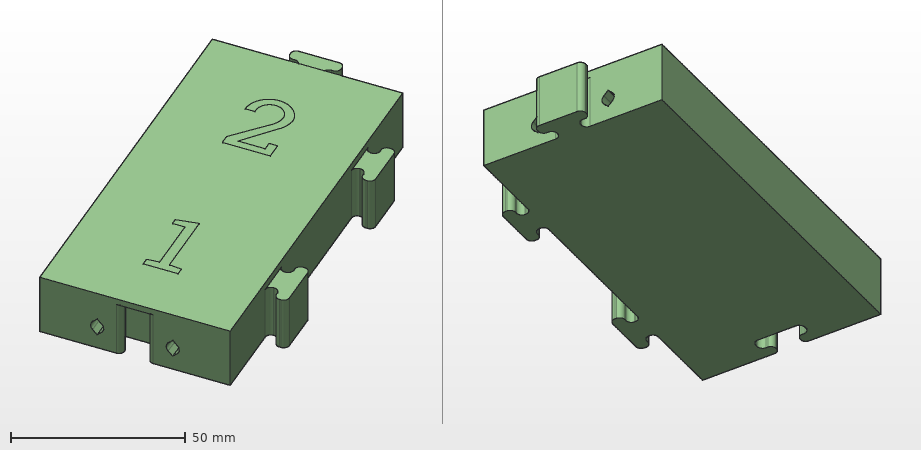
import cadquery as cq
import math

CELL = 60.0
CELL_COUNT = 2
HEIGHT = 20.0
BLOCK_LENGTH = CELL * CELL_COUNT
OVERALL_LENGTH = 128
RIGHT_FACE = CELL / 2
BACK_FACE = BLOCK_LENGTH / 2
FRONT_FACE = -BACK_FACE
CELL_CENTRES = [FRONT_FACE + CELL * (i + 0.5) for i in range(CELL_COUNT)]

KNOB_REACH = OVERALL_LENGTH - BLOCK_LENGTH
KNOB_HEAD_THICKNESS = 4.1
KNOB_HEAD_WIDTH = 16.2
KNOB_NECK_WIDTH = 7.9
KNOB_ROUNDING = 1.8
KNOB_HEIGHT = 17.5

SOCKET_CLEARANCE = 0.1
SOCKET_HEIGHT = 17.9

HOLE_RADIUS = 2.0
HOLE_OFFSET = 11.9
HOLE_Z = 7.7

INLAY_DEPTH = 1.0


def make_connector(clearance, height):
    """T-shaped connector grown by a clearance: its root lies on Y = 0 and its head towards +Y."""
    reach = KNOB_REACH + clearance
    neck_length = KNOB_REACH - KNOB_HEAD_THICKNESS - clearance
    neck_x = KNOB_NECK_WIDTH / 2 + clearance
    head_x = KNOB_HEAD_WIDTH / 2 + clearance
    inner_radius = KNOB_ROUNDING - clearance
    outer_radius = KNOB_ROUNDING + clearance
    root_x = neck_x + inner_radius
    head_flat_x = head_x - outer_radius
    return (
        cq.Workplane("XY")
        .moveTo(-root_x, 0)
        .lineTo(root_x, 0)
        .radiusArc((neck_x, inner_radius), inner_radius)
        .lineTo(neck_x, neck_length - inner_radius)
        .radiusArc((root_x, neck_length), inner_radius)
        .lineTo(head_flat_x, neck_length)
        .radiusArc((head_x, neck_length + outer_radius), -outer_radius)
        .lineTo(head_x, reach - outer_radius)
        .radiusArc((head_flat_x, reach), -outer_radius)
        .lineTo(-head_flat_x, reach)
        .radiusArc((-head_x, reach - outer_radius), -outer_radius)
        .lineTo(-head_x, neck_length + outer_radius)
        .radiusArc((-head_flat_x, neck_length), -outer_radius)
        .lineTo(-root_x, neck_length)
        .radiusArc((-neck_x, neck_length - inner_radius), inner_radius)
        .lineTo(-neck_x, inner_radius)
        .radiusArc((-root_x, 0), inner_radius)
        .close()
        .extrude(height)
    )


def make_knob():
    return make_connector(0, KNOB_HEIGHT)


def make_socket():
    return make_connector(SOCKET_CLEARANCE, SOCKET_HEIGHT).translate((0, FRONT_FACE, 0))


def make_long_hole(x):
    """Hole along Y: a round bore whose 45 degree tangents meet in a point above and below."""
    tip = HOLE_RADIUS * math.sqrt(2)
    tangent = HOLE_RADIUS / math.sqrt(2)
    return (
        cq.Workplane("XZ", origin=(x, BACK_FACE, HOLE_Z))
        .moveTo(0, tip)
        .lineTo(tangent, tangent)
        .threePointArc((HOLE_RADIUS, 0), (tangent, -tangent))
        .lineTo(0, -tip)
        .lineTo(-tangent, -tangent)
        .threePointArc((-HOLE_RADIUS, 0), (-tangent, tangent))
        .close()
        .extrude(BLOCK_LENGTH)
    )


def inlay_plane(cell_y):
    """Sketch plane on the floor of an inlay, centred on one cell."""
    return cq.Workplane("XY", origin=(0, cell_y, HEIGHT - INLAY_DEPTH))


def make_digit_one(cell_y):
    half_stem = 1.5
    half_foot = 5.5
    bottom = -12.2
    foot_top = -9.9
    stem_bottom = -9.5
    flag_bottom = 8.2
    flag_top = 10.1
    top = 11.4
    return (
        inlay_plane(cell_y)
        .moveTo(-half_foot, bottom)
        .lineTo(half_foot, bottom)
        .lineTo(half_foot, foot_top)
        .lineTo(half_stem, stem_bottom)
        .lineTo(half_stem, top)
        .lineTo(-half_foot, flag_top)
        .lineTo(-half_foot, flag_bottom)
        .lineTo(-half_stem, flag_bottom)
        .lineTo(-half_stem, stem_bottom)
        .lineTo(-half_foot, foot_top)
        .close()
        .extrude(INLAY_DEPTH)
    )


def make_digit_two(cell_y):
    foot_left = -7.8
    foot_right = 7.3
    bottom = -12.0
    foot_top = -9.6
    serif_left = 4.6
    serif_top = -6.9
    hook_end_y = 4.7
    hook_outer = (-8.2, hook_end_y)
    hook_inner = (-5.1, hook_end_y)
    bowl_outer_right = (6.5, 5.9)
    bowl_outer_top = (-0.8, 12.2)
    bowl_outer_shoulder = (6.1, 3.2)
    bowl_inner_right = (3.5, 5.9)
    bowl_inner_top = (-0.8, 9.7)
    bowl_inner_shoulder = (3.1, 3.5)
    diagonal_lower_start = (-4.0, foot_top)
    diagonal_lower_end = (5.0, 1.0)
    diagonal_upper_start = (foot_left, -9.1)
    diagonal_upper_end = (1.8, 1.4)
    return (
        inlay_plane(cell_y)
        .moveTo(foot_left, bottom)
        .lineTo(foot_right, bottom)
        .lineTo(foot_right, serif_top)
        .lineTo(serif_left, serif_top)
        .lineTo(serif_left, foot_top)
        .lineTo(*diagonal_lower_start)
        .lineTo(*diagonal_lower_end)
        .threePointArc(bowl_outer_shoulder, bowl_outer_right)
        .threePointArc(bowl_outer_top, hook_outer)
        .lineTo(*hook_inner)
        .threePointArc(bowl_inner_top, bowl_inner_right)
        .threePointArc(bowl_inner_shoulder, diagonal_upper_end)
        .lineTo(*diagonal_upper_start)
        .close()
        .extrude(INLAY_DEPTH)
    )


def make_block(inlays):
    block = cq.Workplane("XY").box(CELL, BLOCK_LENGTH, HEIGHT, centered=(True, True, False))
    for y in CELL_CENTRES:
        side_knob = make_knob().rotate((0, 0, 0), (0, 0, 1), -90)
        block = block.union(side_knob.translate((RIGHT_FACE, y, 0)))
    block = block.union(make_knob().translate((0, BACK_FACE, 0)))
    block = block.cut(make_socket())
    for x in (-HOLE_OFFSET, HOLE_OFFSET):
        block = block.cut(make_long_hole(x))
    for inlay in inlays:
        block = block.cut(inlay)
    return block


digit_one = make_digit_one(CELL_CENTRES[0])
digit_two = make_digit_two(CELL_CENTRES[1])
block = make_block([digit_one, digit_two])

result = cq.Compound.makeCompound([block.val(), digit_one.val(), digit_two.val()])